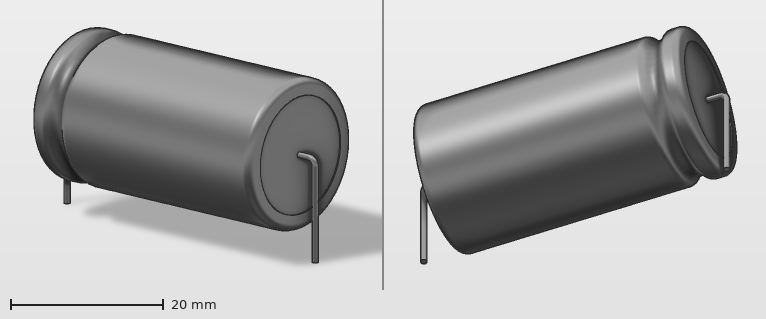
import cadquery as cq
import math


can_length = 38.0
can_radius = 10.25
rim_fillet = 1.0

groove_offset = 3.95
groove_depth = 0.95
groove_radius = 1.5
shoulder_radius = 1.0

disc_radius = 8.0
disc_thickness = 0.9
disc_recess = 0.2

lead_span = 44.0
lead_diameter = 0.85
lead_bend_radius = 1.0
lead_drop = 14.07

half_length = can_length / 2
pocket_depth = disc_recess + disc_thickness
disc_face_x = half_length - disc_recess
lead_x = (lead_span - lead_diameter) / 2


def point_on_arc(center, radius, angle):
    """Point at an angle (radians) measured from +X about an arc center."""
    return (center[0] + radius * math.cos(angle), center[1] + radius * math.sin(angle))


def make_can():
    groove_x = -half_length + groove_offset
    groove_center = (groove_x, can_radius - groove_depth + groove_radius)
    shoulder_center_r = can_radius - shoulder_radius
    center_rise = groove_center[1] - shoulder_center_r
    center_distance = groove_radius + shoulder_radius
    shoulder_offset = math.sqrt(center_distance**2 - center_rise**2)
    tangent_angle = math.atan2(center_rise, shoulder_offset)
    middle_angle = (tangent_angle + math.pi / 2) / 2

    left_center = (groove_x - shoulder_offset, shoulder_center_r)
    right_center = (groove_x + shoulder_offset, shoulder_center_r)
    left_tangent = point_on_arc(left_center, shoulder_radius, tangent_angle)
    right_tangent = point_on_arc(right_center, shoulder_radius, math.pi - tangent_angle)

    profile = (
        cq.Workplane("XY")
        .moveTo(-half_length, 0)
        .lineTo(-half_length, can_radius - rim_fillet)
        .radiusArc((-half_length + rim_fillet, can_radius), rim_fillet)
        .lineTo(left_center[0], can_radius)
        .threePointArc(point_on_arc(left_center, shoulder_radius, middle_angle), left_tangent)
        .threePointArc((groove_x, can_radius - groove_depth), right_tangent)
        .threePointArc(
            point_on_arc(right_center, shoulder_radius, math.pi - middle_angle),
            (right_center[0], can_radius),
        )
        .lineTo(half_length - rim_fillet, can_radius)
        .radiusArc((half_length, can_radius - rim_fillet), rim_fillet)
        .lineTo(half_length, 0)
        .close()
    )
    can = profile.revolve(360, (0, 0, 0), (1, 0, 0))
    for side in (-1, 1):
        pocket = (
            cq.Workplane("YZ", origin=(side * half_length, 0, 0))
            .circle(disc_radius)
            .extrude(-side * pocket_depth)
        )
        can = can.cut(pocket)
    return can


def make_end_disc(side):
    """Disc at the bottom of the end pocket; side is -1 or +1 along X."""
    return (
        cq.Workplane("YZ", origin=(side * disc_face_x, 0, 0))
        .circle(disc_radius)
        .extrude(-side * disc_thickness)
    )


def make_lead(side):
    """Wire running out from the disc face, then bent down to -Z."""
    bend_center = (side * (lead_x - lead_bend_radius), -lead_bend_radius)
    bend_middle_angle = math.pi / 2 - side * math.pi / 4
    path = (
        cq.Workplane("XZ")
        .moveTo(side * disc_face_x, 0)
        .lineTo(bend_center[0], 0)
        .threePointArc(
            point_on_arc(bend_center, lead_bend_radius, bend_middle_angle),
            (side * lead_x, -lead_bend_radius),
        )
        .lineTo(side * lead_x, -lead_drop)
    )
    section = cq.Workplane("YZ", origin=(side * disc_face_x, 0, 0)).circle(lead_diameter / 2)
    return section.sweep(path)


can = make_can()
end_discs = [make_end_disc(side) for side in (-1, 1)]
leads = [make_lead(side) for side in (-1, 1)]

result = cq.Compound.makeCompound(
    [can.val(), *[disc.val() for disc in end_discs], *[lead.val() for lead in leads]]
)